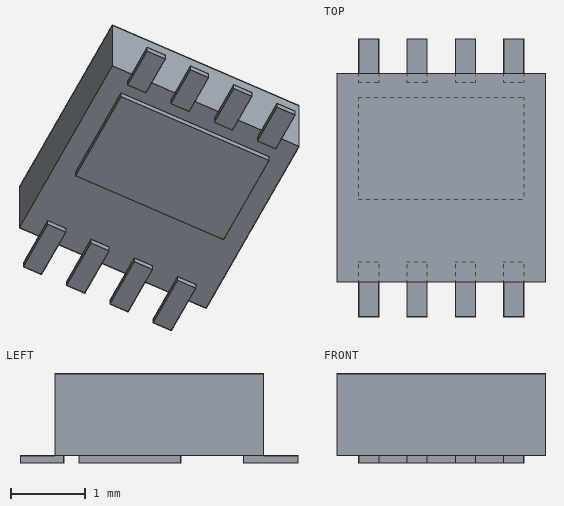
import cadquery as cq

housing_side = 2.8
housing_height = 1.1

overall_length = 3.73
lead_thickness = 0.1
lead_width = 0.272
lead_pitch = 0.65
leads_per_side = 4
front_lead_length = 0.735
back_lead_length = 0.585

pad_width = (leads_per_side - 1) * lead_pitch + lead_width
pad_length = 1.37
pad_gap = 0.2
pad_back_y = overall_length / 2 - back_lead_length - pad_gap
pad_center_y = pad_back_y - pad_length / 2


def make_housing():
    """Block whose underside rests on top of the leads and pad."""
    return (
        cq.Workplane("XY")
        .workplane(offset=lead_thickness)
        .rect(housing_side, housing_side)
        .extrude(housing_height)
    )


def make_pad():
    """Thermal pad under the housing, between the two lead rows."""
    return (
        cq.Workplane("XY")
        .center(0, pad_center_y)
        .rect(pad_width, pad_length)
        .extrude(lead_thickness)
    )


def make_lead(center_x, length, side):
    """Lead running inward from the outer end; side is -1 (front) or +1 (back)."""
    center_y = side * (overall_length - length) / 2
    return (
        cq.Workplane("XY")
        .center(center_x, center_y)
        .rect(lead_width, length)
        .extrude(lead_thickness)
    )


housing = make_housing()
pad = make_pad()

leads = []
for index in range(leads_per_side):
    lead_x = (index - (leads_per_side - 1) / 2) * lead_pitch
    leads.append(make_lead(lead_x, front_lead_length, -1).val())
    leads.append(make_lead(lead_x, back_lead_length, 1).val())

result = cq.Compound.makeCompound([housing.val(), pad.val(), *leads])